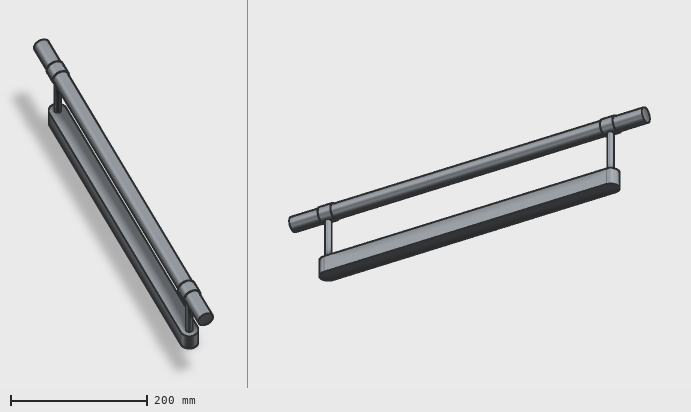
import cadquery as cq

rail_length = 600.0
rail_diameter = 24.0
overall_height = 122.0
base_width = 27.0
base_height = 27.0
post_spacing = 480.0
post_diameter = 10.0
collar_diameter = 27.0
collar_width = 21.5

base_length = post_spacing + base_width
rail_height = overall_height - collar_diameter / 2


def x_cylinder(diameter, length, center_x):
    """Cylinder along X on the rail axis, centred at center_x."""
    return (
        cq.Workplane("YZ", origin=(center_x - length / 2, 0, rail_height))
        .circle(diameter / 2)
        .extrude(length)
    )


def make_rail():
    """Plain round rail running through both collars."""
    return x_cylinder(rail_diameter, rail_length, 0)


def make_base():
    """Bar with full-round ends."""
    return cq.Workplane("XY").slot2D(base_length, base_width).extrude(base_height)


def make_post(center_x):
    """Upright post from the base top into its collar."""
    return (
        cq.Workplane("XY", origin=(center_x, 0, base_height))
        .circle(post_diameter / 2)
        .extrude(rail_height - base_height)
    )


def make_stand(rail):
    """Base, two posts and two collars as one solid, bored to hold the rail."""
    stand = make_base()
    for center_x in (-post_spacing / 2, post_spacing / 2):
        stand = stand.union(make_post(center_x))
        stand = stand.union(x_cylinder(collar_diameter, collar_width, center_x))
    return stand.cut(rail)


rail = make_rail()
stand = make_stand(rail)

result = cq.Compound.makeCompound([rail.val(), *stand.vals()])